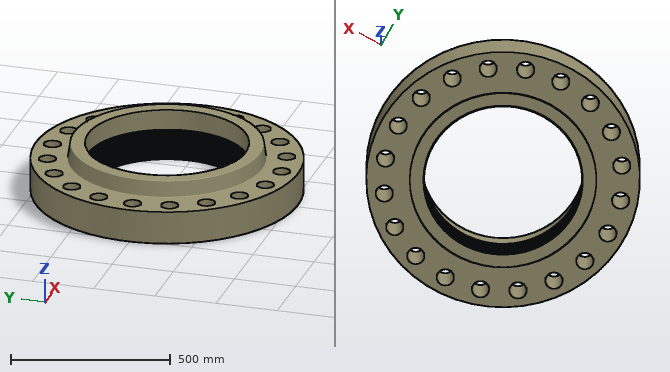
import cadquery as cq
import math

flange_radius = 428.5
flange_thickness = 108.0

face_radius = 292.0
face_height = 6.0

total_height = 165.0
hub_base_radius = 311.0
hub_top_radius = 303.0
hub_fillet = 2.0

bolt_count = 20
bolt_circle_radius = 374.5
bolt_hole_diameter = 54.0
bolt_spacing = 360 / bolt_count

counterbore_radius = 257.0
counterbore_depth = 67.0
thread_root_radius = 253.0
thread_pitch = 3.2

port_angle = bolt_spacing / 2
port_root_radius = 7.0
port_pitch = 1.45
port_depth = 23.0

taper_per_length = 1 / 32
groove_depth_per_pitch = 0.8
drill_point_angle = 118

flange_bottom = face_height
flange_top = flange_bottom + flange_thickness
thread_length = total_height - counterbore_depth


def make_body():
    """Revolve the outline of raised face, disc and hub about Z, then round both ends of the hub."""
    outline = [
        (0, 0),
        (face_radius, 0),
        (face_radius, flange_bottom),
        (flange_radius, flange_bottom),
        (flange_radius, flange_top),
        (hub_base_radius, flange_top),
        (hub_top_radius, total_height),
        (0, total_height),
    ]
    body = cq.Workplane("XZ").polyline(outline).close().revolve(360, (0, 0), (0, 1))
    body = body.faces(">Z").edges().fillet(hub_fillet)
    margin = 2 * hub_fillet
    reach = hub_base_radius + margin
    hub_base_box = cq.selectors.BoxSelector(
        (-reach, -reach, flange_top - margin),
        (reach, reach, flange_top + margin),
        boundingbox=True,
    )
    return body.edges("%CIRCLE").edges(hub_base_box).fillet(hub_fillet)


def make_thread_cutter(root_radius, pitch, length, top, tip_height=0):
    """Core with V-shaped thread rings about Z, tapering inward below the height `top`."""
    groove_depth = groove_depth_per_pitch * pitch
    turns = round(length / pitch)
    step = length / turns
    outline = [(0, top), (root_radius, top)]
    for turn in range(turns):
        crest_drop = (turn + 0.5) * step
        root_drop = (turn + 1) * step
        outline.append((root_radius - groove_depth - taper_per_length * crest_drop, top - crest_drop))
        outline.append((root_radius - taper_per_length * root_drop, top - root_drop))
    outline.append((0, top - length - tip_height))
    return cq.Workplane("XZ").polyline(outline).close().revolve(360, (0, 0), (0, 1))


def cut_bore(body):
    """Counterbore from the hub end, then the tapered thread through the raised face."""
    counterbore = (
        cq.Workplane("XY")
        .workplane(offset=thread_length)
        .circle(counterbore_radius)
        .extrude(counterbore_depth)
    )
    thread = make_thread_cutter(thread_root_radius, thread_pitch, thread_length, thread_length)
    return body.cut(counterbore).cut(thread)


def cut_bolt_holes(body):
    """Evenly spaced through holes, the first on the X axis."""
    holes = (
        cq.Workplane("XY")
        .polarArray(bolt_circle_radius, 0, 360, bolt_count)
        .circle(bolt_hole_diameter / 2)
        .extrude(flange_top)
    )
    return body.cut(holes)


def cut_port(body):
    """Threaded blind port with a drill-point bottom in the disc's upper face."""
    tip_height = port_root_radius / math.tan(math.radians(drill_point_angle / 2))
    port = make_thread_cutter(port_root_radius, port_pitch, port_depth, flange_top, tip_height)
    port = port.translate((bolt_circle_radius, 0, 0)).rotate((0, 0, 0), (0, 0, 1), port_angle)
    return body.cut(port)


result = cut_port(cut_bolt_holes(cut_bore(make_body())))